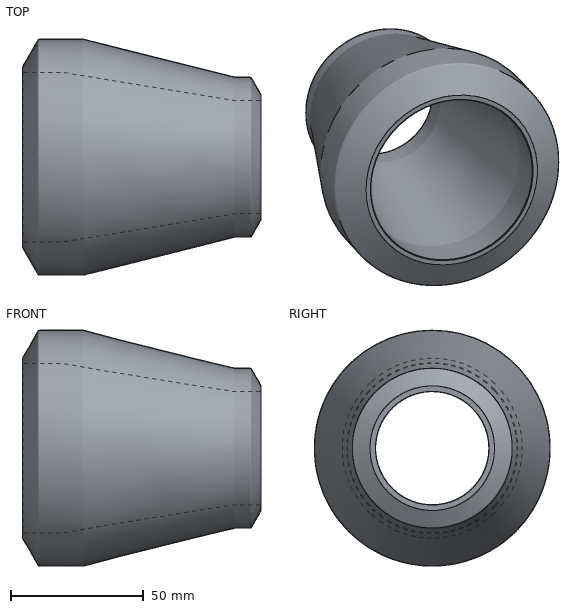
import cadquery as cq
import math

length = 90.0
large_outer_diameter = 88.9
small_outer_diameter = 60.3
large_bore_diameter = 63.9
small_bore_diameter = 42.7

large_collar_length = 23.0
small_collar_length = 9.9

large_bore_length = 15.3
bore_mouth_chamfer = 0.3

bevel_angle = 30.0
large_land_width = 2.0
small_land_width = 2.2

edge_radius = 0.9

large_radius = large_outer_diameter / 2
small_radius = small_outer_diameter / 2
large_bore_radius = large_bore_diameter / 2
small_bore_radius = small_bore_diameter / 2
cone_start = large_collar_length
cone_end = length - small_collar_length


def bevel_length(outer_radius, land_radius):
    """Axial length of a bevel from the root land out to the collar."""
    return (outer_radius - land_radius) * math.tan(math.radians(bevel_angle))


large_land_radius = large_bore_radius + large_land_width
small_land_radius = small_bore_radius + small_land_width
large_bevel_end = bevel_length(large_radius, large_land_radius)
small_bevel_start = length - bevel_length(small_radius, small_land_radius)

wall_section = [
    (bore_mouth_chamfer, large_bore_radius),
    (0, large_bore_radius + bore_mouth_chamfer),
    (0, large_land_radius),
    (large_bevel_end, large_radius),
    (cone_start, large_radius),
    (cone_end, small_radius),
    (small_bevel_start, small_radius),
    (length, small_land_radius),
    (length, small_bore_radius),
    (cone_end, small_bore_radius),
    (large_bore_length, large_bore_radius),
]
reducer = cq.Workplane("XY").polyline(wall_section).close().revolve(360, (0, 0, 0), (1, 0, 0))


def round_outer_edge(body, position, radius):
    """Round the circular outer edge of the given radius at an axial position."""
    margin = 0.1
    edge_zone = cq.selectors.BoxSelector(
        (position - margin, -radius, -radius),
        (position + margin, radius, radius),
    )
    outermost = cq.selectors.RadiusNthSelector(-1)
    return body.edges(edge_zone).edges("%CIRCLE").edges(outermost).fillet(edge_radius)


for edge_position, edge_circle_radius in [
    (large_bevel_end, large_radius),
    (cone_start, large_radius),
    (small_bevel_start, small_radius),
]:
    reducer = round_outer_edge(reducer, edge_position, edge_circle_radius)

result = reducer